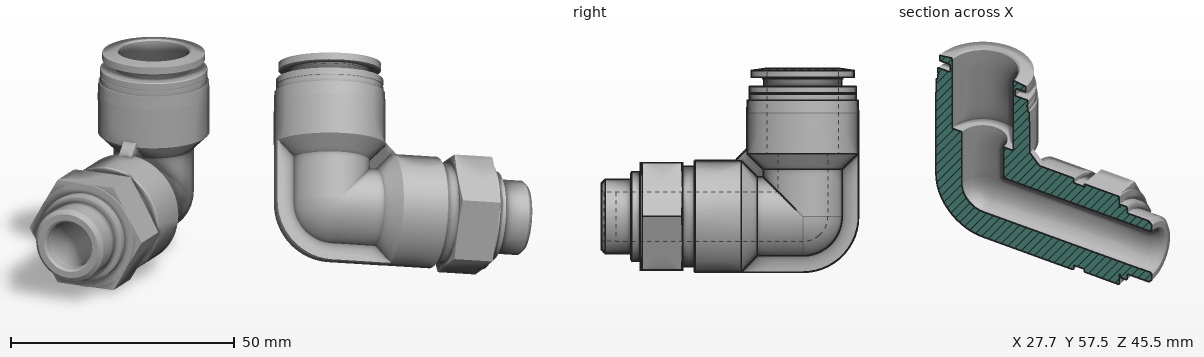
import cadquery as cq
import math


body_diameter = 25.0
body_radius = body_diameter / 2
elbow_radius = 8.95

socket_cone_start = 10.5
socket_cone_end = 14.05
socket_taper_start = 23.1
socket_body_top = 26.0
socket_top_radius = 12.35
ring_diameter = 24.0
ring_groove_depth = 0.25
ring_groove_bottom = 27.3
ring_groove_top = 27.6
ring_top = 29.1
ring_chamfer = 0.2
release_neck_diameter = 17.5
release_flange_diameter = 23.0
release_flange_bottom = 31.05
release_top = 33.05
release_cone_height = 0.45
release_shoulder_diameter = 17.8
release_shoulder_height = 0.3

stud_cone_start = 10.2
stud_cone_end = 13.7
stud_body_end = 24.25
stud_edge_chamfer = 0.3
stud_neck_diameter = 22.5
hex_start = 26.85
hex_end = 35.9
hex_flats = 24.0
hex_edge_drop = 0.25
washer_face_end = 36.3
collar_diameter = 20.0
collar_face_diameter = 19.0
collar_groove_diameter = 18.4
collar_start = 36.45
collar_end = 38.4
collar_chamfer_length = 0.25
thread_diameter = 16.7
thread_chamfer = 0.9
overall_length = 57.5
stud_end = overall_length - body_radius

tube_bore_diameter = 16.0
tube_bore_mouth_diameter = 16.7
tube_bore_floor = socket_cone_end
inner_passage_diameter = 11.1
stud_passage_diameter = 11.0
stud_mouth_diameter = 11.95
stud_passage_depth = 3.15

rib_thickness = 3.1
inner_rib_socket_z = 15.05
inner_rib_stud_y = 15.05
inner_rib_stud_z = body_radius


def revolve_stations(stations):
    """Solid of revolution about Z from (radius, height) pairs."""
    bottom = stations[0][1]
    top = stations[-1][1]
    outline = [(0, bottom)] + stations + [(0, top)]
    return cq.Workplane("XZ").polyline(outline).close().revolve(360, (0, 0, 0), (0, 1, 0))


def along_stud(solid):
    """Turn a solid built along +Z so that it points along -Y."""
    return solid.rotate((0, 0, 0), (1, 0, 0), 90)


def make_socket():
    ring = ring_diameter / 2
    groove = ring - ring_groove_depth
    neck = release_neck_diameter / 2
    shoulder = release_shoulder_diameter / 2
    flange = release_flange_diameter / 2
    return revolve_stations([
        (elbow_radius, 0),
        (elbow_radius, socket_cone_start),
        (body_radius, socket_cone_end),
        (body_radius, socket_taper_start),
        (socket_top_radius, socket_body_top),
        (ring, socket_body_top),
        (ring, ring_groove_bottom),
        (groove, ring_groove_bottom),
        (groove, ring_groove_top),
        (ring, ring_groove_top),
        (ring, ring_top - ring_chamfer),
        (ring - ring_chamfer, ring_top),
        (neck, ring_top),
        (neck, release_flange_bottom - release_shoulder_height),
        (shoulder, release_flange_bottom - release_shoulder_height),
        (shoulder, release_flange_bottom),
        (flange, release_flange_bottom),
        (flange, release_top - release_cone_height),
        (tube_bore_mouth_diameter / 2, release_top),
    ])


def make_stud():
    neck = stud_neck_diameter / 2
    washer = hex_flats / 2
    groove = collar_groove_diameter / 2
    collar = collar_diameter / 2
    thread = thread_diameter / 2
    return along_stud(revolve_stations([
        (elbow_radius, 0),
        (elbow_radius, stud_cone_start),
        (body_radius, stud_cone_end),
        (body_radius, stud_body_end - stud_edge_chamfer),
        (body_radius - stud_edge_chamfer, stud_body_end),
        (neck, stud_body_end),
        (neck, hex_end),
        (washer, hex_end),
        (washer, washer_face_end),
        (groove, washer_face_end),
        (groove, collar_start),
        (collar, collar_start),
        (collar, collar_end - collar_chamfer_length),
        (collar_face_diameter / 2, collar_end),
        (thread, collar_end),
        (thread, stud_end - thread_chamfer),
        (thread - thread_chamfer, stud_end),
    ]))


def make_hex():
    """Hexagon with corners on +X and -X, its inner corners turned off."""
    corner_radius = hex_flats / math.sqrt(3)
    prism = (
        cq.Workplane("XY")
        .workplane(offset=hex_start)
        .polygon(6, 2 * corner_radius)
        .extrude(hex_end - hex_start)
    )
    turned = revolve_stations([
        (hex_flats / 2, hex_start),
        (corner_radius, hex_start + hex_edge_drop),
        (corner_radius, hex_end),
    ])
    return along_stud(prism.intersect(turned))


def make_outer_rib():
    """Plate round the outside of the bend, flush with both bodies."""
    arc_point = body_radius / math.sqrt(2)
    return (
        cq.Workplane("YZ")
        .moveTo(0, socket_cone_end)
        .lineTo(body_radius, socket_cone_end)
        .lineTo(body_radius, 0)
        .threePointArc((arc_point, -arc_point), (0, -body_radius))
        .lineTo(-stud_cone_end, -body_radius)
        .lineTo(-stud_cone_end, 0)
        .lineTo(0, 0)
        .close()
        .extrude(rib_thickness / 2, both=True)
    )


def make_inner_rib():
    """Web bridging the inside corner between the two bodies."""
    return (
        cq.Workplane("YZ")
        .polyline([
            (0, 0),
            (0, inner_rib_socket_z),
            (-body_radius, inner_rib_socket_z),
            (-inner_rib_stud_y, inner_rib_stud_z),
            (-inner_rib_stud_y, 0),
        ])
        .close()
        .extrude(rib_thickness / 2, both=True)
    )


def make_bores():
    inner_passage = inner_passage_diameter / 2
    tube = tube_bore_diameter / 2
    tube_mouth = tube_bore_mouth_diameter / 2
    stud_passage = stud_passage_diameter / 2
    stud_mouth = stud_mouth_diameter / 2
    socket_bore = revolve_stations([
        (inner_passage, 0),
        (inner_passage, tube_bore_floor),
        (tube, tube_bore_floor),
        (tube, release_top - (tube_mouth - tube)),
        (tube_mouth, release_top),
    ])
    stud_bore = along_stud(revolve_stations([
        (inner_passage, 0),
        (inner_passage, stud_end - stud_passage_depth),
        (stud_passage, stud_end - stud_passage_depth),
        (stud_passage, stud_end - (stud_mouth - stud_passage)),
        (stud_mouth, stud_end),
    ]))
    bend = cq.Workplane("XY").sphere(inner_passage)
    return socket_bore.union(stud_bore).union(bend)


outside = cq.Workplane("XY").sphere(elbow_radius)
for piece in (make_socket(), make_stud(), make_hex(), make_outer_rib(), make_inner_rib()):
    outside = outside.union(piece)

result = outside.cut(make_bores())